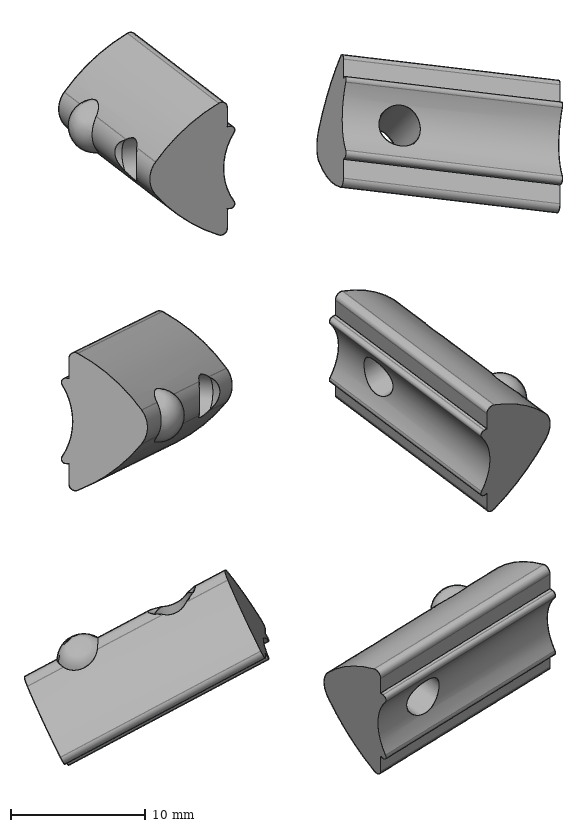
import cadquery as cq
import math

length = 17.0
height = 10.5
nose_radius = 2.04
side_radius = 13.94

back_y = 6.3
flange_radius = 0.51
lip_y = 6.9
lip_top_z = 3.25
lip_radius = 0.34
hollow_y = 6.0

end_distance = 4.5
ball_radius = 2.0
ball_projection = 1.0
hole_diameter = 3.25
countersink_diameter = 4.05


def point_from(start, target, distance):
    """Point at a given distance from start, in the direction of target."""
    scale = distance / math.dist(start, target)
    return tuple(s + scale * (t - s) for s, t in zip(start, target))


def mirrored(point):
    return (point[0], -point[1])


def circle_intersection(center_a, radius_a, center_b, radius_b):
    """Intersection of two circles lying to the right of the line from a to b."""
    gap = math.dist(center_a, center_b)
    along = (gap**2 + radius_a**2 - radius_b**2) / (2 * gap)
    across = math.sqrt(radius_a**2 - along**2)
    uy = (center_b[0] - center_a[0]) / gap
    uz = (center_b[1] - center_a[1]) / gap
    return (center_a[0] + along * uy + across * uz, center_a[1] + along * uz - across * uy)


def make_bar():
    nose_center = (nose_radius, 0)
    flange_center = (back_y - flange_radius, height / 2 - flange_radius)
    lip_center = (lip_y - lip_radius, lip_top_z - lip_radius)

    side_center = circle_intersection(
        nose_center, side_radius - nose_radius, flange_center, side_radius - flange_radius
    )
    nose_end = point_from(side_center, nose_center, side_radius)
    side_end = point_from(side_center, flange_center, side_radius)
    side_chord_middle = ((nose_end[0] + side_end[0]) / 2, (nose_end[1] + side_end[1]) / 2)
    side_middle = point_from(side_center, side_chord_middle, side_radius)

    flange_middle = point_from(flange_center, (back_y, height / 2), flange_radius)
    flange_back = (back_y, flange_center[1])

    lip_step = lip_center[0] - hollow_y
    hollow_radius = (lip_step**2 + lip_center[1] ** 2 - lip_radius**2) / (2 * (lip_radius + lip_step))
    hollow_center = (hollow_y + hollow_radius, 0)
    lip_start = (lip_center[0], lip_top_z)
    lip_middle = (lip_y, lip_center[1])
    lip_end = point_from(hollow_center, lip_center, hollow_radius)

    return (
        cq.Workplane("YZ")
        .moveTo(*mirrored(nose_end))
        .threePointArc((0, 0), nose_end)
        .threePointArc(side_middle, side_end)
        .threePointArc(flange_middle, flange_back)
        .lineTo(back_y, lip_top_z)
        .lineTo(*lip_start)
        .threePointArc(lip_middle, lip_end)
        .threePointArc((hollow_y, 0), mirrored(lip_end))
        .threePointArc(mirrored(lip_middle), mirrored(lip_start))
        .lineTo(back_y, -lip_top_z)
        .lineTo(*mirrored(flange_back))
        .threePointArc(mirrored(flange_middle), mirrored(side_end))
        .threePointArc(mirrored(side_middle), mirrored(nose_end))
        .close()
        .extrude(length)
    )


def make_ball():
    ball_center = (end_distance, ball_radius - ball_projection, 0)
    return cq.Workplane("XY").sphere(ball_radius).translate(ball_center)


def make_hole():
    hole_x = length - end_distance
    countersink_radius = countersink_diameter / 2
    hole = cq.Solid.makeCylinder(
        hole_diameter / 2, lip_y, cq.Vector(hole_x, 0, 0), cq.Vector(0, 1, 0)
    )
    countersink = cq.Solid.makeCone(
        countersink_radius, 0, countersink_radius, cq.Vector(hole_x, 0, 0), cq.Vector(0, 1, 0)
    )
    return cq.Workplane(hole.fuse(countersink))


result = make_bar().union(make_ball()).cut(make_hole())